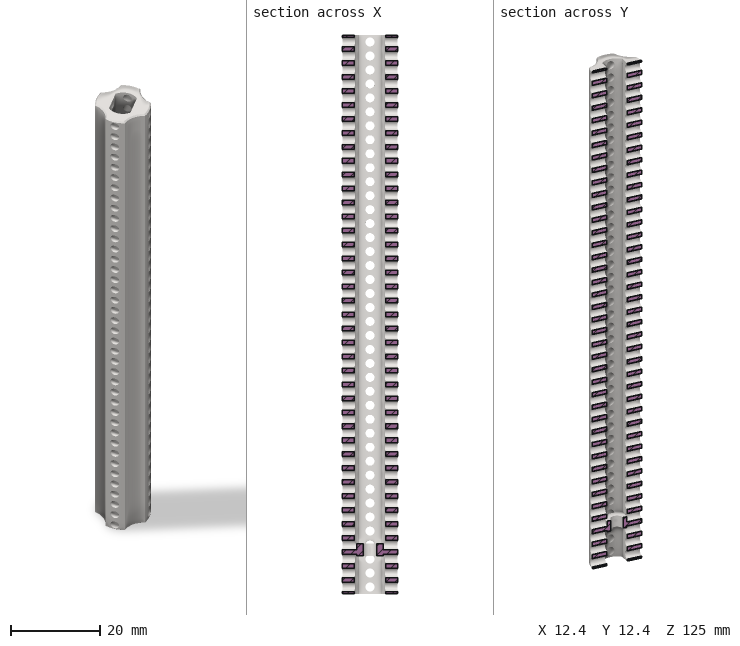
import cadquery as cq
import math

length = 125.0
outer_radius = 6.2
lobe_width = 4.5
flute_distance = 5.0
end_chamfer = 0.31

bore_diameter = 7.0
bore_width = 5.0
web_bottom = 8.5
web_top = 11.2
screw_hole_diameter = 3.0

side_hole_diameter = 2.0
side_hole_pitch = 3.1
side_hole_count = round(length / side_hole_pitch)
x_hole_end = bore_width / 2
y_hole_end = 3.0


def at_quarter(x, y, quarter):
    """Turn a point about the axis by a number of quarter turns."""
    for _ in range(quarter):
        x, y = -y, x
    return x, y


def fluted_bar():
    """Solid bar with arc-shaped lobes and flutes, chamfered around both ends."""
    half_lobe = lobe_width / 2
    lobe_corner = math.sqrt(outer_radius**2 - half_lobe**2)
    flute_middle = flute_distance / math.sqrt(2)
    outline = cq.Workplane("XY").moveTo(lobe_corner, -half_lobe)
    for quarter in range(4):
        outline = outline.threePointArc(
            at_quarter(outer_radius, 0, quarter),
            at_quarter(lobe_corner, half_lobe, quarter),
        )
        outline = outline.threePointArc(
            at_quarter(flute_middle, flute_middle, quarter),
            at_quarter(half_lobe, lobe_corner, quarter),
        )
    bar = outline.close().extrude(length)
    return bar.faces("<Z or >Z").chamfer(end_chamfer)


def bore_section(bottom, top):
    """Stretch of the flat-sided bore between two heights."""
    plane = cq.Workplane("XY", origin=(0, 0, bottom))
    cylinder = plane.circle(bore_diameter / 2).extrude(top - bottom)
    slab = plane.rect(bore_width, bore_diameter).extrude(top - bottom)
    return cylinder.intersect(slab)


def side_hole_rows(plane_name, hole_end):
    """Two opposite rows of holes, each running from outside the bar to hole_end from the axis."""
    centres = [(0, (i + 0.5) * side_hole_pitch) for i in range(side_hole_count)]
    rows = cq.Workplane(plane_name)
    for side in (1, -1):
        rows = rows.add(
            cq.Workplane(plane_name)
            .workplane(offset=side * hole_end)
            .pushPoints(centres)
            .circle(side_hole_diameter / 2)
            .extrude(side * (outer_radius - hole_end))
        )
    return rows.combine()


screw_hole = cq.Workplane("XY").circle(screw_hole_diameter / 2).extrude(web_top)

result = (
    fluted_bar()
    .cut(bore_section(0, web_bottom))
    .cut(bore_section(web_top, length))
    .cut(screw_hole)
    .cut(side_hole_rows("YZ", x_hole_end))
    .cut(side_hole_rows("XZ", y_hole_end))
)